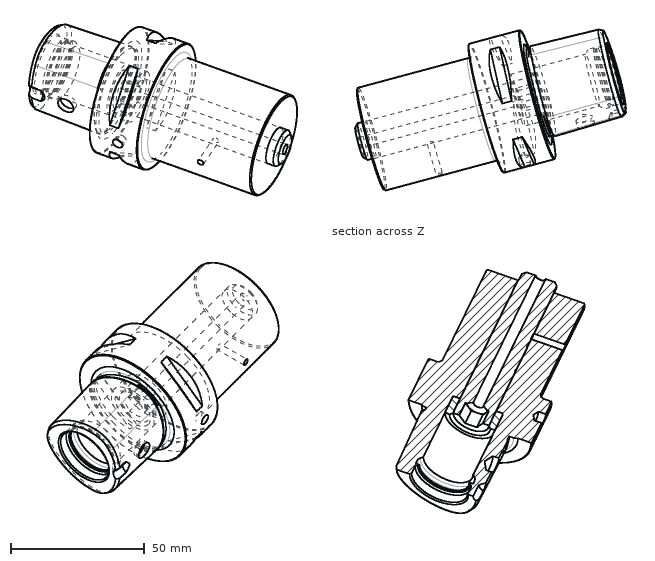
import cadquery as cq
import math

tip_chamfer_end = 1.6
taper_end = 27.8
neck_end = 29.6
flange_start = 30.1
flange_end = 50.1
body_end = 94.9
total_length = 99.4

lobe_count = 3
lobe_pitch = 360 / lobe_count
lobe_height = 1.1
lobe_half_angle = 27.0
edge_intervals = 12
tip_mean_radius = 16.1
taper_small_radius = 16.9
taper_large_radius = 17.5
neck_mean_radius = 17.2
neck_cap_radius = 17.6
neck_cap_cone_radius = taper_large_radius + lobe_height
neck_cap_cone_length = 1.0

flange_diameter = 50.0
flange_chamfer = 0.3
flange_root_inner_radius = 17.8
flange_root_outer_radius = 19.5
body_diameter = 39.9
body_fillet = 1.8
body_chamfer = 0.5

bore_mouth_radius = 11.9
bore_entry_radius = 11.3
bore_radius = 10.0
lip_outer_radius = 10.6
lip_radius = 10.1
lip_cone_start = 4.0
lip_start = 4.8
lip_end = 5.4
groove_radius = 11.5
groove_floor_end = 6.8
groove_blend_radius = 11.0
groove_blend_end = 8.0
groove_end = 8.9

drill_point_angle = 118.0
notch_radius = 3.2
notch_center_y = -17.0
notch_depth = 5.5
notch_point_angle = 100.0
shank_hole_x = 16.0
shank_hole_radius = 3.3
shank_hole_depth = 2.0
shank_hole_allowance = 5.0
flange_hole_x = 41.9
flange_hole_radius = 2.0
flange_hole_depth = 3.0
vent_hole_x = 74.0
vent_hole_radius = 1.2

slot_x = 40.0
slot_floor_width = 3.6
slot_top_width = 6.8
slot_floor_distance = 22.1
slot_angles = (45, 135, 225, 315)

screw_radius = 7.2
screw_chamfer = 1.4
screw_hole_radius = 2.0
socket_sides = 6
socket_width = 8.2
socket_depth = 6.0
sleeve_start = flange_start
sleeve_length = 8.0
sleeve_mouth_radius = 8.25
sleeve_chamfer = sleeve_mouth_radius - screw_radius
screw_start = sleeve_start + sleeve_chamfer

flange_radius = flange_diameter / 2
body_radius = body_diameter / 2


def revolve_about_x(profile):
    """Revolve a closed (X, radius) profile around the part axis."""
    return profile.close().revolve(360, (0, 0, 0), (1, 0, 0))


def drill_point_length(radius, point_angle=drill_point_angle):
    """Axial length of the cone that a drill of this radius leaves."""
    return radius / math.tan(math.radians(point_angle / 2))


def drill(radius, depth, start, direction, point_angle=drill_point_angle):
    """Drill body: a cylinder of the given depth followed by a drill point."""
    start = cq.Vector(*start)
    direction = cq.Vector(*direction)
    point_length = drill_point_length(radius, point_angle)
    point = cq.Solid.makeCone(radius, 0, point_length, start + direction * depth, direction)
    return cq.Workplane(cq.Solid.makeCylinder(radius, depth, start, direction)).union(cq.Workplane(point))


def lobed_wire(x, mean_radius):
    """Closed three-lobed outline in the plane at x, with separate lobe and flank edges."""

    def outline_point(degrees):
        angle = math.radians(degrees)
        support = mean_radius + lobe_height * math.cos(lobe_count * angle)
        slope = -lobe_count * lobe_height * math.sin(lobe_count * angle)
        y = support * math.cos(angle) - slope * math.sin(angle)
        z = support * math.sin(angle) + slope * math.cos(angle)
        return cq.Vector(x, y, z)

    def outline_edge(start, end):
        step = (end - start) / edge_intervals
        return cq.Edge.makeSpline([outline_point(start + i * step) for i in range(edge_intervals + 1)])

    edges = []
    for lobe in range(lobe_count):
        lobe_center = lobe * lobe_pitch
        lobe_end = lobe_center + lobe_half_angle
        edges.append(outline_edge(lobe_center - lobe_half_angle, lobe_end))
        edges.append(outline_edge(lobe_end, lobe_center + lobe_pitch - lobe_half_angle))
    return cq.Wire.assembleEdges(edges)


def lobed_section(start_x, start_radius, end_x, end_radius):
    """Solid between two lobed outlines along X."""
    wires = [lobed_wire(start_x, start_radius), lobed_wire(end_x, end_radius)]
    return cq.Workplane(cq.Solid.makeLoft(wires, True))


def make_shank():
    """Lobed taper with a chamfered tip and a relieved neck."""
    tip = lobed_section(0, tip_mean_radius, tip_chamfer_end, taper_small_radius)
    taper = lobed_section(tip_chamfer_end, taper_small_radius, taper_end, taper_large_radius)
    neck = lobed_section(taper_end, neck_mean_radius, flange_start, neck_mean_radius)
    neck_cap = revolve_about_x(
        cq.Workplane("XY")
        .moveTo(taper_end, 0)
        .lineTo(taper_end, neck_cap_cone_radius)
        .lineTo(taper_end + neck_cap_cone_length, neck_cap_radius)
        .lineTo(flange_start, neck_cap_radius)
        .lineTo(flange_start, 0)
    )
    return tip.union(taper).union(neck.intersect(neck_cap))


def make_flange_and_body():
    """Turned outline from the concave flange root to the end of the body."""
    root_rise = flange_root_outer_radius - flange_root_inner_radius
    root_length = flange_start - neck_end
    root_arc_radius = (root_rise**2 + root_length**2) / (2 * root_length)
    outline = (
        cq.Workplane("XY")
        .moveTo(neck_end, 0)
        .lineTo(neck_end, flange_root_inner_radius)
        .radiusArc((flange_start, flange_root_outer_radius), root_arc_radius)
        .lineTo(flange_start, flange_radius - flange_chamfer)
        .lineTo(flange_start + flange_chamfer, flange_radius)
        .lineTo(flange_end - flange_chamfer, flange_radius)
        .lineTo(flange_end, flange_radius - flange_chamfer)
        .lineTo(flange_end, body_radius + body_fillet)
        .radiusArc((flange_end + body_fillet, body_radius), -body_fillet)
        .lineTo(body_end - body_chamfer, body_radius)
        .lineTo(body_end, body_radius - body_chamfer)
        .lineTo(body_end, 0)
    )
    return revolve_about_x(outline)


def make_bore():
    """Stepped bore with a lip and an undercut groove, and the clearance for the screw."""
    blend_rise = groove_radius - groove_blend_radius
    blend_length = groove_blend_end - groove_floor_end
    blend_arc_radius = (blend_rise**2 + blend_length**2) / (2 * blend_rise)
    sleeve_end = sleeve_start + sleeve_length
    mouth_chamfer = bore_mouth_radius - bore_entry_radius
    outline = (
        cq.Workplane("XY")
        .lineTo(0, bore_mouth_radius)
        .lineTo(mouth_chamfer, bore_entry_radius)
        .lineTo(lip_cone_start, bore_entry_radius)
        .lineTo(lip_start, lip_outer_radius)
        .lineTo(lip_start, lip_radius)
        .lineTo(lip_end, lip_radius)
        .lineTo(lip_end, groove_radius)
        .lineTo(groove_floor_end, groove_radius)
        .radiusArc((groove_blend_end, groove_blend_radius), blend_arc_radius)
        .lineTo(groove_end, bore_radius)
        .lineTo(sleeve_end, bore_radius)
        .lineTo(sleeve_end, screw_radius)
        .lineTo(body_end, screw_radius)
        .lineTo(body_end, 0)
    )
    return revolve_about_x(outline)


def make_gripper_slot(angle):
    """Cutter with a flat floor and sloping walls, running across the flange at the given angle."""
    half_floor = slot_floor_width / 2
    half_top = slot_top_width / 2
    cutter = (
        cq.Workplane("XY")
        .moveTo(slot_x - half_floor, slot_floor_distance)
        .lineTo(slot_x + half_floor, slot_floor_distance)
        .lineTo(slot_x + half_top, flange_radius)
        .lineTo(slot_x - half_top, flange_radius)
        .close()
        .extrude(flange_radius, both=True)
    )
    return cutter.rotate((0, 0, 0), (1, 0, 0), angle)


def make_holder():
    """Shank, flange and body in one piece, with the bore, holes, notch and gripper slots removed."""
    holder = make_shank().union(make_flange_and_body()).cut(make_bore())

    tip_notch = drill(notch_radius, notch_depth, (0, notch_center_y, 0), (1, 0, 0), notch_point_angle)
    flank_y = -(taper_small_radius - lobe_height)
    shank_hole_start = (shank_hole_x, flank_y - shank_hole_allowance, 0)
    shank_hole_length = shank_hole_depth + shank_hole_allowance
    shank_hole = drill(shank_hole_radius, shank_hole_length, shank_hole_start, (0, 1, 0))
    flange_hole = drill(flange_hole_radius, flange_hole_depth, (flange_hole_x, -flange_radius, 0), (0, 1, 0))
    vent_hole = cq.Workplane(
        cq.Solid.makeCylinder(
            vent_hole_radius, body_radius, cq.Vector(vent_hole_x, -body_radius, 0), cq.Vector(0, 1, 0)
        )
    )

    for cutter in (tip_notch, shank_hole, flange_hole, vent_hole):
        holder = holder.cut(cutter)
    for angle in slot_angles:
        holder = holder.cut(make_gripper_slot(angle))
    return holder


def make_sleeve():
    """Ring between the bore and the screw, chamfered towards the socket."""
    outline = (
        cq.Workplane("XY")
        .moveTo(sleeve_start, sleeve_mouth_radius)
        .lineTo(sleeve_start, bore_radius)
        .lineTo(sleeve_start + sleeve_length, bore_radius)
        .lineTo(sleeve_start + sleeve_length, screw_radius)
        .lineTo(screw_start, screw_radius)
    )
    return revolve_about_x(outline)


def make_screw():
    """Hollow screw with a hexagon socket at one end and a chamfered nose at the other."""
    screw_length = total_length - screw_start
    socket_start = (screw_start, 0, 0)
    screw = (
        cq.Workplane("YZ", origin=socket_start)
        .circle(screw_radius)
        .extrude(screw_length)
        .faces(">X")
        .chamfer(screw_chamfer)
    )
    socket = (
        cq.Workplane("YZ", origin=socket_start)
        .polygon(socket_sides, socket_width, circumscribed=True)
        .extrude(socket_depth)
        .rotate((0, 0, 0), (1, 0, 0), 180 / socket_sides)
    )
    socket_point = cq.Workplane(
        cq.Solid.makeCone(
            socket_width / 2,
            0,
            drill_point_length(socket_width / 2),
            cq.Vector(screw_start + socket_depth, 0, 0),
            cq.Vector(1, 0, 0),
        )
    )
    coolant_hole = cq.Workplane("YZ", origin=socket_start).circle(screw_hole_radius).extrude(screw_length)
    return screw.cut(socket).cut(socket_point).cut(coolant_hole)


holder = make_holder()
sleeve = make_sleeve()
screw = make_screw()

result = cq.Compound.makeCompound([holder.val(), sleeve.val(), screw.val()])